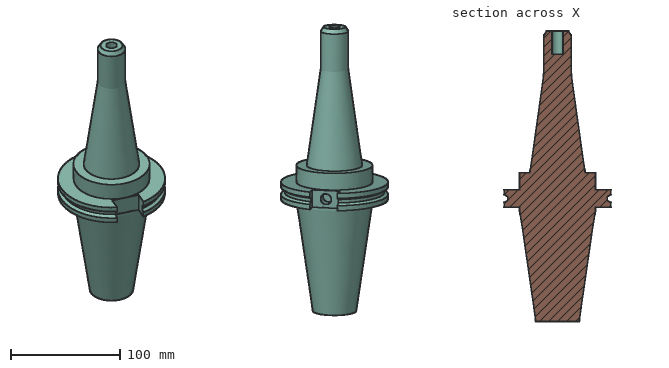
import cadquery as cq

total_height = 266.7
gauge_z = 101.5
flange_bottom_z = 104.8
flange_top_z = 121.0
collar_top_z = 136.8
shank_bottom_z = 227.2
shank_top_chamfer_height = 4.0
shank_top_chamfer_width = 2.7

gauge_radius = 35.0
taper_rate = 7 / 24
taper_end_radius = gauge_radius - gauge_z * taper_rate / 2
flange_radius = 98.5 / 2
neck_base_radius = 25.5
shank_radius = 12.8

groove_depth = 3.5
groove_mouth = 7.0
groove_floor = 3.2
groove_z = (flange_bottom_z + flange_top_z) / 2

slot_width = 26.0
slot_floor_left = 37.5
slot_floor_right = 35.2
hole_diameter = 10.0
top_hole_depth = 21.3
side_hole_depth = 10.7


def make_body():
    """Taper, flange, collar, neck and shank as one turned profile."""
    groove_radius = flange_radius - groove_depth
    profile = [
        (0, 0),
        (taper_end_radius, 0),
        (gauge_radius, gauge_z),
        (gauge_radius, flange_bottom_z),
        (flange_radius, flange_bottom_z),
        (flange_radius, groove_z - groove_mouth / 2),
        (groove_radius, groove_z - groove_floor / 2),
        (groove_radius, groove_z + groove_floor / 2),
        (flange_radius, groove_z + groove_mouth / 2),
        (flange_radius, flange_top_z),
        (gauge_radius, flange_top_z),
        (gauge_radius, collar_top_z),
        (neck_base_radius, collar_top_z),
        (shank_radius, shank_bottom_z),
        (shank_radius, total_height - shank_top_chamfer_height),
        (shank_radius - shank_top_chamfer_width, total_height),
        (0, total_height),
    ]
    return cq.Workplane("XZ").polyline(profile).close().revolve(360, (0, 0), (0, 1))


def drive_slot(floor_distance, side):
    """Slot through the flange height; side is -1 for -X and +1 for +X."""
    length = flange_radius
    height = flange_top_z - flange_bottom_z
    return (
        cq.Workplane("XY")
        .box(length, slot_width, height)
        .translate((side * (floor_distance + length / 2), 0, flange_bottom_z + height / 2))
    )


body = make_body()
body = body.cut(drive_slot(slot_floor_left, -1))
body = body.cut(drive_slot(slot_floor_right, 1))

top_hole = (
    cq.Workplane("XY", origin=(0, 0, total_height))
    .circle(hole_diameter / 2)
    .extrude(-top_hole_depth)
)

side_hole = (
    cq.Workplane("YZ", origin=(-slot_floor_left, 0, groove_z))
    .circle(hole_diameter / 2)
    .extrude(side_hole_depth)
)

result = body.cut(top_hole).cut(side_hole)